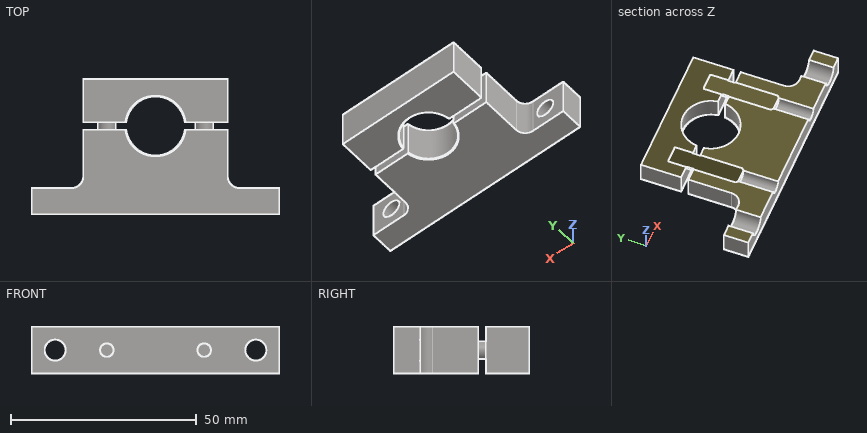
import cadquery as cq

thickness = 12.7
base_length = 66.67
flange_height = 7.14
block_width = 38.9
overall_height = 36.5
flange_fillet = 3.175

bore_diameter = 15.875
bore_centre_y = 23.8
bore_chamfer = 0.25
clamp_gap = 2.0

mount_spacing = 54.0
mount_hole_diameter = 5.6

screw_spacing = 26.2
screw_diameter = 4.9
screw_tip_diameter = 3.56
screw_tip_y = 10.0
screw_top_y = 30.0
tap_hole_diameter = 3.7

base_top_y = bore_centre_y - clamp_gap / 2
cap_bottom_y = bore_centre_y + clamp_gap / 2
mid_z = thickness / 2


def plate(width, y_start, y_end):
    """Rectangular block centred on X, spanning y_start to y_end and the full thickness."""
    height = y_end - y_start
    block = cq.Workplane("XY").box(width, height, thickness, centered=(True, False, False))
    return block.translate((0, y_start, 0))


def rod(x, diameter, y_start, y_end):
    """Cylinder along Y at mid thickness."""
    axis = cq.Workplane("XZ", origin=(x, y_start, mid_z))
    return axis.circle(diameter / 2).extrude(y_start - y_end)


def bore_cutter():
    """Shaft bore along Z with a chamfer flare at both ends."""
    radius = bore_diameter / 2
    flare = radius + bore_chamfer
    profile = (
        cq.Workplane("XZ")
        .moveTo(0, 0)
        .lineTo(flare, 0)
        .lineTo(radius, bore_chamfer)
        .lineTo(radius, thickness - bore_chamfer)
        .lineTo(flare, thickness)
        .lineTo(0, thickness)
        .close()
    )
    return profile.revolve(360, (0, 0, 0), (0, 1, 0)).translate((0, bore_centre_y, 0))


def make_screw(x):
    """Clamp screw joining the cap to the base, with a chamfered tip."""
    tip_chamfer = (screw_diameter - screw_tip_diameter) / 2
    return rod(x, screw_diameter, screw_tip_y, screw_top_y).faces("<Y").chamfer(tip_chamfer)


def base_outline():
    """Flange with a central block, rounded in at both inner corners."""
    half_base = base_length / 2
    half_block = block_width / 2
    fillet_end_x = half_block + flange_fillet
    fillet_end_y = flange_height + flange_fillet
    return (
        cq.Workplane("XY")
        .moveTo(-half_base, 0)
        .lineTo(half_base, 0)
        .lineTo(half_base, flange_height)
        .lineTo(fillet_end_x, flange_height)
        .radiusArc((half_block, fillet_end_y), flange_fillet)
        .lineTo(half_block, base_top_y)
        .lineTo(-half_block, base_top_y)
        .lineTo(-half_block, fillet_end_y)
        .radiusArc((-fillet_end_x, flange_height), flange_fillet)
        .lineTo(-half_base, flange_height)
        .close()
    )


def make_base(screw_positions):
    """Flanged lower half with mounting holes, screw recesses and tap holes."""
    body = base_outline().extrude(thickness)
    body = body.cut(bore_cutter())
    for side in (-1, 1):
        body = body.cut(rod(side * mount_spacing / 2, mount_hole_diameter, 0, flange_height))
    for x in screw_positions:
        body = body.cut(rod(x, tap_hole_diameter, 0, screw_tip_y))
        body = body.cut(make_screw(x))
    return body


def make_cap(screw_positions):
    """Upper half with blind recesses for the screws."""
    body = plate(block_width, cap_bottom_y, overall_height).cut(bore_cutter())
    for x in screw_positions:
        body = body.cut(make_screw(x))
    return body


screw_xs = [-screw_spacing / 2, screw_spacing / 2]
base = make_base(screw_xs)
cap = make_cap(screw_xs)
screws = [make_screw(x) for x in screw_xs]

result = cq.Compound.makeCompound([base.val(), cap.val(), *[screw.val() for screw in screws]])